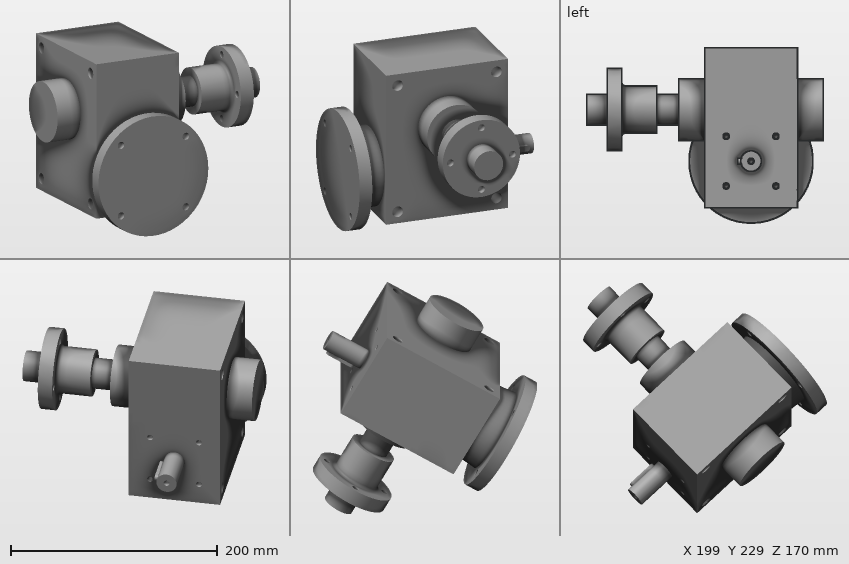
import cadquery as cq
import math

block_length = 126.0
block_depth = 90.0
axis_spacing = 50.0
top_margin = 60.0
block_top = axis_spacing + top_margin
block_bottom = -45.0
block_height = block_top - block_bottom
screw_x = block_length / 2

corner_hole_diameter = 11.0
corner_hole_inset = 12.0

tube_diameter = 60.0
tube_length = 25.0

neck_diameter = 80.0
neck_length = 20.0
neck_root = 4.5
flare_radius = 120.0
motor_flange_diameter = 120.0
motor_flange_thickness = 13.0
motor_bolt_circle = 100.0
motor_bolt_diameter = 7.0
motor_bolt_start_angle = 45

tapped_diameter = 4.8
tapped_mouth_diameter = 6.0
tapped_depth = 12.0
drill_point_angle = 118
tapped_spacing = 48.0

shaft_diameter = 20.0
shaft_overhang = 40.0

key_width = 6.0
key_height = 6.0
key_length = 30.0
key_end_gap = 5.0
key_rise = 2.7

screw_diameter = 30.0
screw_length = 229.0
screw_front = -block_depth / 2 - tube_length
screw_back = screw_front + screw_length

nut_flange_diameter = 80.0
nut_flange_thickness = 14.2
nut_hub_diameter = 46.0
nut_length = 48.0
nut_fillet = 3.0
screw_tail = 20.0
nut_back = screw_back - screw_tail
nut_bolt_circle = 64.1
nut_bolt_diameter = 7.0

bolt_count = 4


def rod_along_x(x_start, length, diameter):
    """Cylinder on the worm axis."""
    return cq.Workplane("YZ", origin=(x_start, 0, 0)).circle(diameter / 2).extrude(length)


def rod_along_y(y_start, length, diameter):
    """Cylinder on the screw axis."""
    plane = cq.Plane(origin=(screw_x, y_start, axis_spacing), xDir=(1, 0, 0), normal=(0, 1, 0))
    return cq.Workplane(plane).circle(diameter / 2).extrude(length)


def tapped_hole(x_start, y, z):
    """Blind hole along +X with a chamfered mouth and a conical drill point."""
    radius = tapped_diameter / 2
    mouth_radius = tapped_mouth_diameter / 2
    chamfer = mouth_radius - radius
    point_length = radius / math.tan(math.radians(drill_point_angle / 2))
    profile = (
        cq.Workplane("XY", origin=(x_start, y, z))
        .lineTo(tapped_depth + point_length, 0)
        .lineTo(tapped_depth, radius)
        .lineTo(chamfer, radius)
        .lineTo(0, mouth_radius)
        .close()
    )
    return profile.revolve(360, (0, 0), (1, 0))


def make_motor_adapter():
    """Flared neck and drilled flange, revolved about the worm axis."""
    neck_radius = neck_diameter / 2
    neck_end = block_length + neck_length
    flare_angle = math.asin(neck_length / flare_radius)
    neck_end_radius = neck_radius + flare_radius * (1 - math.cos(flare_angle))
    flange_end = neck_end + motor_flange_thickness
    body = (
        cq.Workplane("XY")
        .moveTo(block_length - neck_root, 0)
        .lineTo(block_length - neck_root, neck_radius)
        .lineTo(block_length, neck_radius)
        .tangentArcPoint((neck_end, neck_end_radius), relative=False)
        .lineTo(neck_end, motor_flange_diameter / 2)
        .lineTo(flange_end, motor_flange_diameter / 2)
        .lineTo(flange_end, 0)
        .close()
        .revolve(360, (0, 0), (1, 0))
    )
    bolt_holes = (
        cq.Workplane("YZ", origin=(neck_end, 0, 0))
        .polarArray(motor_bolt_circle / 2, motor_bolt_start_angle, 360, bolt_count)
        .circle(motor_bolt_diameter / 2)
        .extrude(motor_flange_thickness)
    )
    return body.cut(bolt_holes)


def make_housing():
    """Block, guide tubes and motor adapter, with bores for the screw and the shaft."""
    block_middle_z = (block_top + block_bottom) / 2
    body = cq.Workplane("XY", origin=(block_length / 2, 0, block_middle_z)).box(
        block_length, block_depth, block_height
    )
    body = (
        body.faces("<Y").workplane(centerOption="CenterOfMass")
        .rarray(block_length - 2 * corner_hole_inset, block_height - 2 * corner_hole_inset, 2, 2)
        .hole(corner_hole_diameter)
    )
    tubes_length = block_depth + 2 * tube_length
    body = body.union(rod_along_y(screw_front, tubes_length, tube_diameter))
    body = body.union(make_motor_adapter())
    body = body.cut(rod_along_y(screw_front, tubes_length, screw_diameter))
    body = body.cut(rod_along_x(0, block_length, shaft_diameter))
    for y in (-tapped_spacing / 2, tapped_spacing / 2):
        for z in (-tapped_spacing / 2, tapped_spacing / 2):
            body = body.cut(tapped_hole(0, y, z))
    return body


def make_key():
    """Round-ended key, half sunk in the shaft."""
    key_top = shaft_diameter / 2 + key_rise
    key_middle_x = -shaft_overhang + key_end_gap + key_length / 2
    plane = cq.Plane(origin=(key_middle_x, key_top, 0), xDir=(1, 0, 0), normal=(0, -1, 0))
    return cq.Workplane(plane).slot2D(key_length, key_width).extrude(key_height)


def make_worm_shaft(key):
    """Shaft with a tapped hole in its end and a seat for the key."""
    body = rod_along_x(-shaft_overhang, shaft_overhang + block_length, shaft_diameter)
    return body.cut(tapped_hole(-shaft_overhang, 0, 0)).cut(key)


def make_screw():
    """Plain screw spindle through both guide tubes."""
    return rod_along_y(screw_front, screw_length, screw_diameter)


def make_nut():
    """Flanged nut with a filleted hub, bored for the screw."""
    hub_length = nut_length - nut_flange_thickness
    flange_front = nut_back - nut_flange_thickness
    hub = rod_along_y(nut_back - nut_length, hub_length, nut_hub_diameter)
    flange = rod_along_y(flange_front, nut_flange_thickness, nut_flange_diameter)
    body = hub.union(flange)
    hub_corner = cq.selectors.NearestToPointSelector((screw_x, flange_front, axis_spacing))
    hub_circles = body.edges("%CIRCLE").edges(cq.selectors.RadiusNthSelector(0))
    body = hub_circles.edges(hub_corner).fillet(nut_fillet)
    bolt_plane = cq.Plane(
        origin=(screw_x, flange_front, axis_spacing), xDir=(1, 0, 0), normal=(0, 1, 0)
    )
    bolt_holes = (
        cq.Workplane(bolt_plane)
        .polarArray(nut_bolt_circle / 2, 0, 360, bolt_count)
        .circle(nut_bolt_diameter / 2)
        .extrude(nut_flange_thickness)
    )
    screw_bore = rod_along_y(nut_back - nut_length, nut_length, screw_diameter)
    return body.cut(bolt_holes).cut(screw_bore)


housing = make_housing()
key = make_key()
worm_shaft = make_worm_shaft(key)
screw = make_screw()
nut = make_nut()

result = cq.Compound.makeCompound(
    [housing.val(), worm_shaft.val(), key.val(), screw.val(), nut.val()]
)